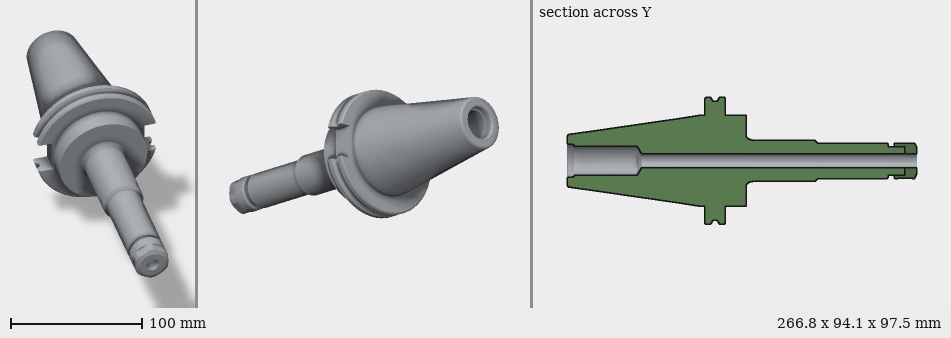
import cadquery as cq
import math

total_length = 266.8
gauge_x = 101.6
flange_start = 104.8
flange_end = 120.8
hub_end = 136.9
step_start = 189.0
shank_end = 245.2
nut_start = 249.2
spigot_end = 257.7

taper_ratio = 7 / 24
taper_dia = 70.0
taper_end_fillet = 2.1
flange_dia = 97.5
flange_chamfer = 1.0
hub_dia = taper_dia
thick_shank_dia = 32.0
thin_shank_dia = 27.5
root_radius = 6.1
root_length = 4.8
shank_chamfer = 1.3
neck_dia = 22.1

groove_x = (flange_start + flange_end) / 2
groove_bottom_width = 3.2
groove_depth = 3.0
groove_wall_angle = 30.0
slot_width = 25.5
front_slot_floor = 35.2
back_slot_floor = 37.5

through_dia = 10.1
mouth_dia = 27.0
pilot_dia = 25.0
pilot_depth = 4.3
recess_dia = 24.3
recess_depth = 5.3
thread_dia = 22.0
thread_depth = 53.4
drill_point_angle = 118.0

nut_dia = 27.5
nut_rear_chamfer = 0.8
nut_face_dia = 20.5
nut_front_chamfer = 2.0
flat_count = 6
flats_across = 25.3
flats_start = 258.0


def revolve_about_x(outline):
    """Turn a closed outline of (x, radius) points about the X axis."""
    return outline.close().revolve(360, (0, 0, 0), (1, 0, 0))


def holder_outside():
    taper_small_radius = (taper_dia - gauge_x * taper_ratio) / 2
    thick_radius = thick_shank_dia / 2
    thin_radius = thin_shank_dia / 2
    shank_step = thick_radius - thin_radius
    root_end = hub_end + root_length

    def root_arc(x):
        """Radius of the concave root blend at station x."""
        return thick_radius + root_radius - math.sqrt(root_radius**2 - (root_end - x) ** 2)

    root_middle = hub_end + root_length / 2
    outline = (
        cq.Workplane("XY")
        .moveTo(0, 0)
        .lineTo(0, taper_small_radius)
        .lineTo(gauge_x, taper_dia / 2)
        .lineTo(hub_end, hub_dia / 2)
        .lineTo(hub_end, root_arc(hub_end))
        .threePointArc((root_middle, root_arc(root_middle)), (root_end, thick_radius))
        .lineTo(step_start, thick_radius)
        .lineTo(step_start + shank_step, thin_radius)
        .lineTo(shank_end - shank_chamfer, thin_radius)
        .lineTo(shank_end, thin_radius - shank_chamfer)
        .lineTo(shank_end, neck_dia / 2)
        .lineTo(spigot_end, neck_dia / 2)
        .lineTo(spigot_end, 0)
    )
    return revolve_about_x(outline).faces("<X").edges().fillet(taper_end_fillet)


def flange():
    radius = flange_dia / 2
    groove_radius = radius - groove_depth
    bottom_half = groove_bottom_width / 2
    top_half = bottom_half + groove_depth * math.tan(math.radians(groove_wall_angle))
    outline = (
        cq.Workplane("XY")
        .moveTo(flange_start, 0)
        .lineTo(flange_start, radius - flange_chamfer)
        .lineTo(flange_start + flange_chamfer, radius)
        .lineTo(groove_x - top_half, radius)
        .lineTo(groove_x - bottom_half, groove_radius)
        .lineTo(groove_x + bottom_half, groove_radius)
        .lineTo(groove_x + top_half, radius)
        .lineTo(flange_end - flange_chamfer, radius)
        .lineTo(flange_end, radius - flange_chamfer)
        .lineTo(flange_end, 0)
    )
    disc = revolve_about_x(outline)
    for side, floor in ((-1, front_slot_floor), (1, back_slot_floor)):
        slot_depth = flange_dia / 2 - floor
        slot_middle = (groove_x, side * (floor + slot_depth / 2), 0)
        slot = cq.Workplane("XY").box(flange_end - flange_start, slot_depth, slot_width)
        disc = disc.cut(slot.translate(slot_middle))
    return disc


def holder_bore():
    mouth_chamfer = (mouth_dia - pilot_dia) / 2
    point_length = (thread_dia - through_dia) / 2 / math.tan(math.radians(drill_point_angle / 2))
    outline = (
        cq.Workplane("XY")
        .moveTo(0, 0)
        .lineTo(0, mouth_dia / 2)
        .lineTo(mouth_chamfer, pilot_dia / 2)
        .lineTo(pilot_depth, pilot_dia / 2)
        .lineTo(pilot_depth, recess_dia / 2)
        .lineTo(recess_depth, recess_dia / 2)
        .lineTo(recess_depth, thread_dia / 2)
        .lineTo(thread_depth, thread_dia / 2)
        .lineTo(thread_depth + point_length, through_dia / 2)
        .lineTo(spigot_end, through_dia / 2)
        .lineTo(spigot_end, 0)
    )
    return revolve_about_x(outline)


def make_holder():
    return holder_outside().union(flange()).cut(holder_bore())


def make_nut():
    radius = nut_dia / 2
    outline = (
        cq.Workplane("XY")
        .moveTo(nut_start, neck_dia / 2)
        .lineTo(nut_start, radius - nut_rear_chamfer)
        .lineTo(nut_start + nut_rear_chamfer, radius)
        .lineTo(total_length - nut_front_chamfer, radius)
        .lineTo(total_length, nut_face_dia / 2)
        .lineTo(total_length, through_dia / 2)
        .lineTo(spigot_end, through_dia / 2)
        .lineTo(spigot_end, neck_dia / 2)
    )
    nut = revolve_about_x(outline)

    flat_length = total_length - flats_start
    flat_depth = (nut_dia - flats_across) / 2
    flat_middle = (flats_start + flat_length / 2, -(flats_across + flat_depth) / 2, 0)
    flat = cq.Workplane("XY").box(flat_length, flat_depth, nut_dia).translate(flat_middle)
    for i in range(flat_count):
        nut = nut.cut(flat.rotate((0, 0, 0), (1, 0, 0), i * 360 / flat_count))
    return nut


holder = make_holder()
nut = make_nut()
result = cq.Compound.makeCompound([holder.val(), nut.val()])